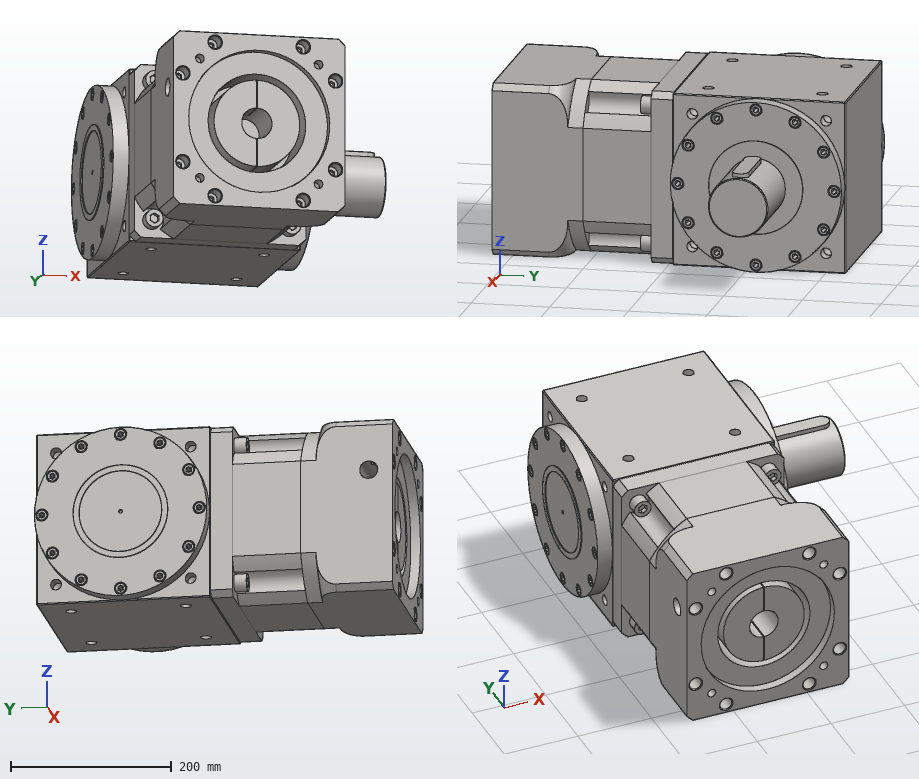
import cadquery as cq
import math


side = 220.0
half_side = side / 2
block_chamfer = 1.5
top_hole_offset = 72.5
side_hole_offset = 85.0
mount_hole_radius = 6.8
mount_hole_depth = 18.0

flange_radius = 109.0
flange_face = 130.0
boss_radius = 60.0
boss_face = 131.5
cap_radius = 52.0
cap_depth = 1.5
centre_hole_radius = 2.2
centre_hole_depth = 4.5
flange_screw_count = 12
flange_screw_circle = 99.5
flange_screw_gap_radius = 7.5
flange_screw_head_radius = 6.5
flange_screw_gap_depth = 9.5
flange_screw_hex = 7.5
flange_screw_hex_depth = 18.0

shaft_radius = 38.0
shaft_end = 237.5
shaft_chamfer = 1.5
key_start = 139.5
key_end = 231.5
key_width = 20.5
key_top = 42.5

spigot_radius = 90.0
spigot_length = 15.0
plate_end = -137.5
stage_end = -224.0
neck_end = -243.5
adapter_end = half_side - 450
neck_radius = 125.0
corner_radius = 150.0
shoulder_radius = corner_radius - neck_radius

stage_screw_offset = 88.0
channel_radius = 15.5
stage_screw_radius = 11.2
stage_screw_height = 15.8
stage_screw_hex = 12.5
stage_screw_hex_depth = 6.8

pilot_radius = 90.5
pilot_depth = 12.0
well_radius = 62.5
well_depth = 67.5
motor_screw_circle = 113.0
motor_screw_angle = 30
motor_screw_radius = 8.0
motor_screw_chamfer = 1.12
motor_screw_depth = 22.5
motor_screw_hex = 9.0
motor_screw_hex_depth = 6.8
motor_tap_offset = 76.0
motor_tap_radius = 5.5
motor_tap_depth = 18.0
access_y = -310.0
access_z = 44.0
access_radius = 11.2

hub_radius = 55.0
hub_bore_radius = 19.5
hub_slit_width = 1.5
hub_slit_depth = 45.0

drill_tip_angle = 118
corner_signs = [(1, 1), (1, -1), (-1, 1), (-1, -1)]


def cylinder(start, direction, radius, length):
    return cq.Workplane(cq.Solid.makeCylinder(radius, length, cq.Vector(*start), cq.Vector(*direction)))


def drilled_hole(start, direction, radius, depth):
    """A blind hole with a conical drill tip, going from start along direction."""
    tip_height = radius / math.tan(math.radians(drill_tip_angle / 2))
    tip_base = cq.Vector(*start) + cq.Vector(*direction) * depth
    tip = cq.Solid.makeCone(radius, 0, tip_height, tip_base, cq.Vector(*direction))
    return cylinder(start, direction, radius, depth).union(cq.Workplane(tip))


def hex_socket(start, direction, corner_diameter, depth):
    plane = cq.Plane(origin=start, xDir=(0, 0, 1), normal=direction)
    return cq.Workplane(plane).polygon(6, corner_diameter).extrude(depth)


def around_y(radius, start_y, end_y):
    """A cylinder on the input axis between two Y positions, the first one higher."""
    return cylinder((0, start_y, 0), (0, -1, 0), radius, start_y - end_y)



def block_with_flanges():
    block = cq.Workplane().box(side, side, side).edges().chamfer(block_chamfer)
    flanges = cylinder((-flange_face, 0, 0), (1, 0, 0), flange_radius, 2 * flange_face)
    bosses = cylinder((-boss_face, 0, 0), (1, 0, 0), boss_radius, 2 * boss_face)
    return block.union(flanges).union(bosses)


def output_shaft():
    shaft = cylinder((0, 0, 0), (1, 0, 0), shaft_radius, shaft_end).faces(">X").chamfer(shaft_chamfer)
    key = (
        cq.Workplane()
        .center((key_start + key_end) / 2, 0)
        .slot2D(key_end - key_start, key_width)
        .extrude(key_top)
    )
    return shaft.union(key)


def end_cap_recess():
    recess = cylinder((-boss_face, 0, 0), (1, 0, 0), cap_radius, cap_depth)
    centre = cylinder((-boss_face, 0, 0), (1, 0, 0), centre_hole_radius, cap_depth + centre_hole_depth)
    return recess.union(centre)


def flange_screw_cuts(x_sign):
    """Gaps around the sunk screw heads of one flange, and their hexagon sockets."""
    cuts = cq.Workplane()
    inward = (-x_sign, 0, 0)
    for index in range(flange_screw_count):
        angle = math.radians(360 / flange_screw_count * index)
        y = flange_screw_circle * math.cos(angle)
        z = flange_screw_circle * math.sin(angle)
        start = (x_sign * flange_face, y, z)
        gap = cylinder(start, inward, flange_screw_gap_radius, flange_screw_gap_depth)
        head = cylinder(start, inward, flange_screw_head_radius, flange_screw_gap_depth)
        socket = hex_socket(start, inward, flange_screw_hex, flange_screw_hex_depth)
        cuts = cuts.add(gap.cut(head)).add(socket)
    return cuts.combine()


def mounting_holes():
    holes = cq.Workplane()
    for sign in (1, -1):
        for a, b in corner_signs:
            top_start = (a * top_hole_offset, b * top_hole_offset, sign * half_side)
            side_start = (sign * half_side, a * side_hole_offset, b * side_hole_offset)
            holes = holes.add(drilled_hole(top_start, (0, 0, -sign), mount_hole_radius, mount_hole_depth))
            holes = holes.add(drilled_hole(side_start, (-sign, 0, 0), mount_hole_radius, mount_hole_depth))
    return holes.combine()


def make_housing():
    spigot_recess = around_y(spigot_radius, spigot_length - half_side, -half_side)
    return (
        block_with_flanges()
        .union(output_shaft())
        .cut(end_cap_recess())
        .cut(flange_screw_cuts(1))
        .cut(flange_screw_cuts(-1))
        .cut(mounting_holes())
        .cut(spigot_recess)
    )



def squared(turned):
    """Trims a turned shape on the input axis to the four flat sides of the gearbox."""
    return turned.intersect(cq.Workplane().box(side, 4 * side, side))


def stage_screw_head(x, z):
    head = cylinder((x, plate_end, z), (0, -1, 0), stage_screw_radius, stage_screw_height)
    socket_start = (x, plate_end - stage_screw_height, z)
    return head.cut(hex_socket(socket_start, (0, 1, 0), stage_screw_hex, stage_screw_hex_depth))


def make_stage():
    plate = squared(around_y(corner_radius, -half_side, plate_end))
    body = squared(around_y(neck_radius, plate_end, stage_end))
    spigot = around_y(spigot_radius, spigot_length - half_side, -half_side)
    for x_sign, z_sign in corner_signs:
        start = (x_sign * stage_screw_offset, plate_end, z_sign * stage_screw_offset)
        body = body.cut(cylinder(start, (0, -1, 0), channel_radius, plate_end - stage_end))
    stage = plate.union(body, clean=False).union(spigot, clean=False)
    for x_sign, z_sign in corner_signs:
        head = stage_screw_head(x_sign * stage_screw_offset, z_sign * stage_screw_offset)
        stage = stage.union(head, clean=False)
    return stage



pilot_floor = adapter_end + pilot_depth
well_floor = pilot_floor + well_depth


def adapter_blank():
    """A turned neck that swells through a round shoulder to the square plate."""
    shoulder_mid = math.sqrt(0.5) * shoulder_radius
    turned = (
        cq.Workplane()
        .moveTo(0, stage_end)
        .lineTo(neck_radius, stage_end)
        .lineTo(neck_radius, neck_end)
        .threePointArc(
            (neck_radius + shoulder_mid, neck_end - shoulder_radius + shoulder_mid),
            (corner_radius, neck_end - shoulder_radius),
        )
        .lineTo(corner_radius, adapter_end)
        .lineTo(0, adapter_end)
        .close()
        .revolve(360, (0, 0, 0), (0, 1, 0))
    )
    return squared(turned)


def motor_screw_hole(x, z):
    hole = cylinder((x, adapter_end, z), (0, 1, 0), motor_screw_radius, motor_screw_depth)
    rim = cq.Workplane(
        cq.Solid.makeCone(
            motor_screw_radius + motor_screw_chamfer,
            motor_screw_radius,
            motor_screw_chamfer,
            cq.Vector(x, adapter_end, z),
            cq.Vector(0, 1, 0),
        )
    )
    socket_start = (x, adapter_end + motor_screw_depth, z)
    socket = hex_socket(socket_start, (0, 1, 0), motor_screw_hex, motor_screw_hex_depth)
    return hole.union(rim).union(socket)


def make_adapter():
    pilot = around_y(pilot_radius, pilot_floor, adapter_end)
    well = around_y(well_radius, well_floor, adapter_end)
    access_hole = cylinder((-half_side, access_y, access_z), (1, 0, 0), access_radius, half_side)
    adapter = adapter_blank().cut(pilot).cut(well).cut(access_hole)
    near = motor_screw_circle * math.sin(math.radians(motor_screw_angle))
    far = motor_screw_circle * math.cos(math.radians(motor_screw_angle))
    for x_sign, z_sign in corner_signs:
        adapter = adapter.cut(motor_screw_hole(x_sign * near, z_sign * far))
        adapter = adapter.cut(motor_screw_hole(x_sign * far, z_sign * near))
        tap_start = (x_sign * motor_tap_offset, adapter_end, z_sign * motor_tap_offset)
        adapter = adapter.cut(drilled_hole(tap_start, (0, 1, 0), motor_tap_radius, motor_tap_depth))
    return adapter



def make_hub():
    """A bored hub standing on the well floor, slit across its open end."""
    bore = around_y(hub_bore_radius, well_floor, pilot_floor)
    hub = around_y(hub_radius, well_floor, pilot_floor).cut(bore)
    slit = (
        cq.Workplane()
        .box(hub_slit_width, hub_slit_depth, 2 * hub_radius)
        .translate((0, pilot_floor + hub_slit_depth / 2, 0))
    )
    return hub.cut(slit)


housing = make_housing()
stage = make_stage()
adapter = make_adapter()
hub = make_hub()

result = cq.Compound.makeCompound([housing.val(), stage.val(), adapter.val(), hub.val()])